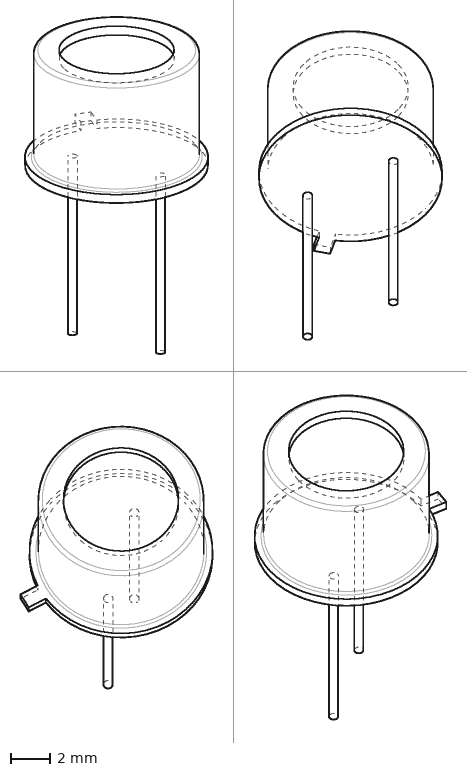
import cadquery as cq

flange_diameter = 9.4
flange_thickness = 0.48

cap_diameter = 8.5
cap_top = 6.495
cap_top_radius = 0.2
cap_foot_radius = 0.13

window_diameter = 5.9
window_depth = 0.5

tab_width = 0.86
tab_reach = 5.7
tab_angle = 135

lead_diameter = 0.48
lead_length = 10.0
lead_spacing = 5.08


def make_header():
    """Revolve the flange and cap as one profile with a rounded foot and top edge."""
    flange_radius = flange_diameter / 2
    cap_radius = cap_diameter / 2
    profile = (
        cq.Workplane("XZ")
        .lineTo(flange_radius, 0)
        .lineTo(flange_radius, flange_thickness)
        .lineTo(cap_radius + cap_foot_radius, flange_thickness)
        .radiusArc((cap_radius, flange_thickness + cap_foot_radius), cap_foot_radius)
        .lineTo(cap_radius, cap_top - cap_top_radius)
        .radiusArc((cap_radius - cap_top_radius, cap_top), -cap_top_radius)
        .lineTo(0, cap_top)
        .close()
    )
    return profile.revolve(360, (0, 0, 0), (0, 1, 0))


def make_window():
    """Shallow round recess cut down from the cap top."""
    floor = cq.Workplane("XY").workplane(offset=cap_top - window_depth)
    return floor.circle(window_diameter / 2).extrude(window_depth)


def make_tab():
    """Radial bar, as thick as the flange, running from the cap wall past the rim."""
    start = cap_diameter / 2
    bar = cq.Workplane("XY").box(
        tab_reach - start, tab_width, flange_thickness, centered=(False, True, False)
    )
    return bar.translate((start, 0, 0)).rotate((0, 0, 0), (0, 0, 1), tab_angle)


def make_leads():
    """Two round leads on the X axis, hanging from the flange underside."""
    half_spacing = lead_spacing / 2
    return (
        cq.Workplane("XY")
        .pushPoints([(-half_spacing, 0), (half_spacing, 0)])
        .circle(lead_diameter / 2)
        .extrude(-lead_length)
    )


result = make_header().cut(make_window()).union(make_tab()).union(make_leads())